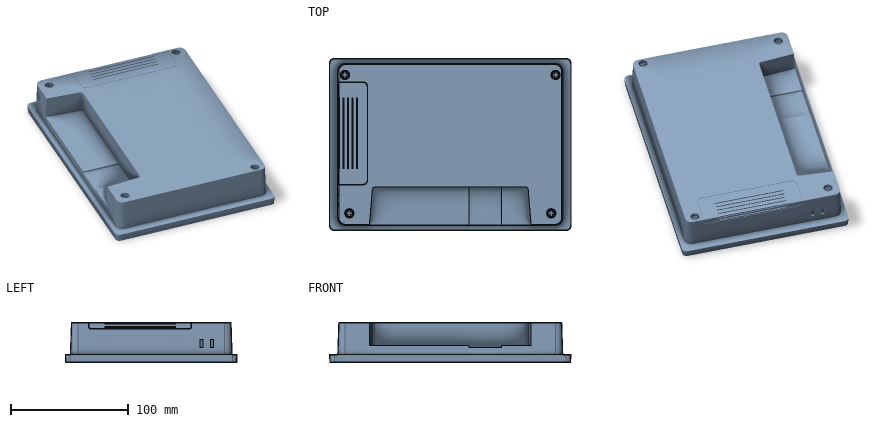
import cadquery as cq

bezel_length = 204.7
bezel_width = 145.8
bezel_thickness = 6.5
bezel_taper = 0.5
bezel_corner_radius = 4.0

total_height = 33.5
base_length = 190.8
base_width = 137.2
housing_taper = 0.92
top_length = base_length - 2 * housing_taper
top_width = base_width - 2 * housing_taper
base_corner_radius = 6.3
top_corner_radius = base_corner_radius - housing_taper

bay_floor_z = 14.1
bay_front_length = 137.2
bay_back_length = 131.8
bay_back_y = -36.2
bay_corner_radius = 2.0
sunk_floor_start_x = 15.8
sunk_floor_end_x = 43.6
sunk_floor_depth = 1.5

cover_center_y = 9.5
cover_width = 87.2
cover_inner_x = -70.0
cover_drop = 5.3
cover_corner_radius = 4.0
cover_side_corner_radius = 2.0
groove_width = 0.3
groove_depth = 0.5

slot_length = 59.8
slot_width = 0.8
slot_depth = 1.2
slot_pitch = 3.9
top_slot_count = 5
side_slot_drop = 3.5

screw_hole_radius = 3.9
screw_hole_depth = 4.5
screw_crown_radius = 3.0
screw_head_height = 2.0
cross_span = 5.1
cross_arm_width = 2.0
cross_depth = 1.2
rear_screw_x = 89.3
rear_screw_y = 59.0
front_screw_x = 85.5
front_screw_y = -58.3

slit_center_z = 16.0
slit_height = 6.5
slit_width = 2.5
slit_depth = 1.6
slit_positions_y = (-42.5, -51.4)

side_x = -base_length / 2


def rounded_loft(bottom_size, bottom_radius, top_size, top_radius, bottom_z, height):
    """Solid between two rounded rectangles centred on the Z axis."""
    bottom = cq.Sketch().rect(*bottom_size).vertices().fillet(bottom_radius)
    top = cq.Sketch().rect(*top_size).vertices().fillet(top_radius)
    placed_top = top.moved(cq.Location(cq.Vector(0, 0, height)))
    return cq.Workplane("XY").workplane(offset=bottom_z).placeSketch(bottom, placed_top).loft()


def side_wall_x(z):
    """X of the sloping -X wall of the housing at height z."""
    fraction = (z - bezel_thickness) / (total_height - bezel_thickness)
    return -(base_length + (top_length - base_length) * fraction) / 2


def make_bezel():
    """Front plate, widest at its back face."""
    outer_face = (bezel_length - 2 * bezel_taper, bezel_width - 2 * bezel_taper)
    outer_radius = bezel_corner_radius - bezel_taper
    back_face = (bezel_length, bezel_width)
    return rounded_loft(
        outer_face, outer_radius, back_face, bezel_corner_radius, 0, bezel_thickness
    )


def make_housing():
    """Drafted block standing on the bezel."""
    return rounded_loft(
        (base_length, base_width),
        base_corner_radius,
        (top_length, top_width),
        top_corner_radius,
        bezel_thickness,
        total_height - bezel_thickness,
    )


def make_connector_bay():
    """Tapered bay cut through the front wall, with the sunk strip of its floor."""
    half_back = bay_back_length / 2
    half_front = bay_front_length / 2
    front_y = -base_width / 2
    bay = (
        cq.Workplane("XY")
        .workplane(offset=bay_floor_z)
        .moveTo(-half_front, front_y)
        .lineTo(-half_back, bay_back_y)
        .lineTo(half_back, bay_back_y)
        .lineTo(half_front, front_y)
        .close()
        .extrude(total_height - bay_floor_z)
        .edges("|Z and >Y")
        .fillet(bay_corner_radius)
    )
    sunk_floor = cq.Workplane("XY").box(
        sunk_floor_end_x - sunk_floor_start_x,
        bay_back_y - front_y,
        sunk_floor_depth,
        centered=False,
    )
    return bay.union(sunk_floor.translate((sunk_floor_start_x, front_y, bay_floor_z - sunk_floor_depth)))


def cover_top_ring():
    """Groove around the part of the cover that lies in the top face."""
    reach = 2 * (cover_inner_x - side_x)

    def block(inset):
        return (
            cq.Workplane("XY")
            .workplane(offset=total_height - groove_depth)
            .center(side_x, cover_center_y)
            .rect(reach - 2 * inset, cover_width - 2 * inset)
            .extrude(groove_depth)
            .edges("|Z")
            .fillet(cover_corner_radius - inset)
        )

    return block(0).cut(block(groove_width))


def cover_side_ring():
    """Groove around the part of the cover that lies in the -X wall."""
    wall_x = side_wall_x(total_height - cover_drop)

    def block(inset):
        return (
            cq.Workplane("YZ")
            .workplane(offset=side_x)
            .center(cover_center_y, total_height)
            .rect(cover_width - 2 * inset, 2 * (cover_drop - inset))
            .extrude(wall_x + groove_depth - side_x)
            .edges("|X")
            .fillet(cover_side_corner_radius - inset)
        )

    return block(0).cut(block(groove_width))


def make_vent_slots():
    """Slots across the cover: a row from its top edge inward and one in the wall."""
    top_slot = cq.Workplane("XY").box(slot_width, slot_length, 2 * slot_depth)
    slots = cq.Workplane("XY")
    for index in range(top_slot_count):
        slot_x = index * slot_pitch - top_length / 2
        slots = slots.union(top_slot.translate((slot_x, cover_center_y, total_height)))
    side_slot_z = total_height - side_slot_drop
    side_slot = cq.Workplane("XY").box(2 * slot_depth, slot_length, slot_width)
    return slots.union(side_slot.translate((side_wall_x(side_slot_z), cover_center_y, side_slot_z)))


def make_slits():
    """Pair of upright latch slits in the -X wall."""
    slit = cq.Workplane("XY").box(2 * slit_depth, slit_width, slit_height)
    slits = cq.Workplane("XY")
    for slit_y in slit_positions_y:
        slits = slits.union(slit.translate((side_wall_x(slit_center_z), slit_y, slit_center_z)))
    return slits


def make_screw_recess():
    """Hole for one screw, less the conical cross-head screw seated in it."""
    floor_z = total_height - screw_hole_depth
    crown_z = floor_z + screw_head_height
    head = (
        cq.Workplane("XZ")
        .moveTo(0, floor_z)
        .lineTo(screw_hole_radius, floor_z)
        .lineTo(screw_crown_radius, crown_z)
        .lineTo(0, crown_z)
        .close()
        .revolve(360, (0, 0, 0), (0, 1, 0))
    )
    cross_z = crown_z - cross_depth / 2
    for span_x, span_y in ((cross_span, cross_arm_width), (cross_arm_width, cross_span)):
        head = head.cut(cq.Workplane("XY").box(span_x, span_y, cross_depth).translate((0, 0, cross_z)))
    hole = cq.Workplane("XY").workplane(offset=floor_z).circle(screw_hole_radius).extrude(screw_hole_depth)
    return hole.cut(head)


result = make_bezel().union(make_housing())
result = result.cut(make_connector_bay())
result = result.cut(cover_top_ring()).cut(cover_side_ring())
result = result.cut(make_vent_slots()).cut(make_slits())

screw_recess = make_screw_recess()
for side in (-1, 1):
    result = result.cut(screw_recess.translate((side * rear_screw_x, rear_screw_y, 0)))
    result = result.cut(screw_recess.translate((side * front_screw_x, front_screw_y, 0)))